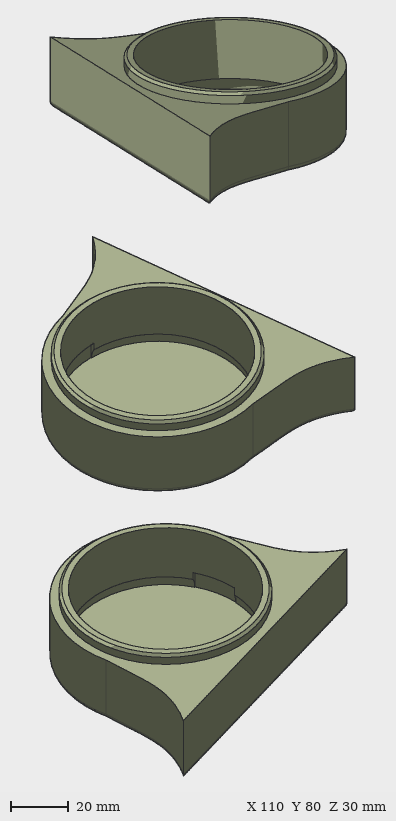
import cadquery as cq

base_width = 110.0
depth = 80.0
total_height = 30.0
body_height = 26.0
bottom_fillet = 2.0
body_radius = depth / 2
half_base = base_width / 2
front_y = -body_radius
flare_points = [(41.9, -12.6), (45.1, -25.8), (48.6, -32.5)]

collar_diameter = 73.5
collar_chamfer = 1.0
bore_diameter = 67.0
floor_thickness = 4.1

undercut_depth = 1.0
undercut_height = 4.2
pocket_width = 16.5
pocket_height = 7.2
pocket_depth = 1.2


def make_body():
    right_side = flare_points + [(half_base, front_y)]
    left_side = [(-x, y) for x, y in reversed(flare_points)] + [(-body_radius, 0)]
    outline = (
        cq.Workplane("XY")
        .moveTo(-body_radius, 0)
        .threePointArc((0, body_radius), (body_radius, 0))
        .spline(right_side, includeCurrent=True)
        .lineTo(-half_base, front_y)
        .spline(left_side, includeCurrent=True)
        .close()
    )
    return outline.extrude(body_height).faces("<Z").edges().fillet(bottom_fillet)


def make_disc(diameter, bottom, top):
    return cq.Workplane("XY").workplane(offset=bottom).circle(diameter / 2).extrude(top - bottom)


def make_collar():
    collar = make_disc(collar_diameter, floor_thickness, total_height)
    return collar.faces(">Z").edges().chamfer(collar_chamfer)


def make_undercut():
    bore_radius = bore_diameter / 2
    arc_radius = (undercut_depth**2 + undercut_height**2) / (2 * undercut_depth)
    profile = (
        cq.Workplane("XZ")
        .moveTo(0, floor_thickness)
        .lineTo(bore_radius + undercut_depth, floor_thickness)
        .radiusArc((bore_radius, floor_thickness + undercut_height), -arc_radius)
        .lineTo(0, floor_thickness + undercut_height)
        .close()
    )
    return profile.revolve(360, (0, 0, 0), (0, 1, 0))


def make_cavity():
    bore = make_disc(bore_diameter, floor_thickness, total_height)
    pocket_disc = make_disc(
        bore_diameter + 2 * pocket_depth, floor_thickness, floor_thickness + pocket_height
    )
    pocket_block = (
        cq.Workplane("XY")
        .workplane(offset=floor_thickness)
        .box(bore_diameter, pocket_width, pocket_height, centered=(False, True, False))
    )
    pocket = pocket_disc.intersect(pocket_block)
    return bore.union(make_undercut()).union(pocket)


result = make_body().union(make_collar()).cut(make_cavity())